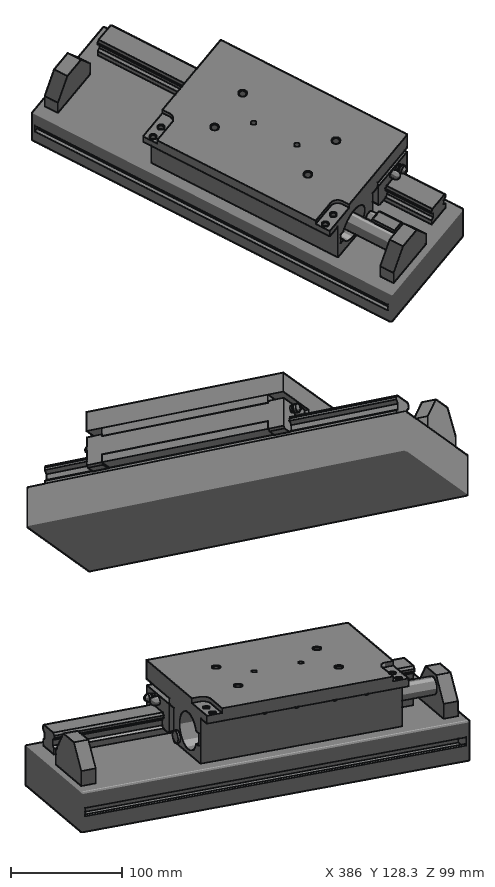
import cadquery as cq


base_length = 386.0
base_width = 119.5
base_height = 40.0
base_edge_radius = 2.0
slot_length = 378.3
slot_height = 8.0
slot_lip_depth = 4.0
slot_cavity_height = 16.0
slot_cavity_depth = 13.5

rail_length = 357.5
rail_y = 39.8
rail_foot_half = 11.5
rail_neck_half = 9.0
rail_head_half = 12.0
rail_top_half = 10.0
rail_foot_height = 5.8
rail_neck_bottom = 7.7
rail_neck_top = 13.0
rail_head_bottom = 16.2
rail_head_top = 18.5
rail_height = 21.0

carriage_length = 200.0
carriage_width = 128.0
carriage_x = 29.7
carriage_top = 99.0
overhang_thickness = 12.5
housing_front_y = -50.5
housing_back_y = 6.5
housing_bottom_z = 42.0
web_bottom_z = 74.5
block_seat_front_y = 15.5
block_seat_z = 80.3

bore_diameter = 36.0
bore_y = -24.5
bore_z = 64.0
groove_reach = 22.0
groove_height = 12.5

pocket_length = 15.0
pocket_width = 32.0
pocket_depth = 4.5
pocket_radius = 7.7
pocket_hole_diameter = 5.0
pocket_hole_end_inset = 7.7
pocket_hole_front_insets = (4.5, 17.8)
pocket_hole_depth = 5.8

mount_hole_diameter = 6.5
mount_hole_pitch_x = 100.0
mount_hole_pitch_y = 46.5
mount_hole_depth = 11.5
hole_chamfer = 0.8
pin_hole_diameter = 5.0
pin_hole_pitch = 46.5
pin_hole_depth = 7.7

side_hole_diameter = 3.25
side_hole_offsets = (-36.3, -4.5, 33.2, 65.0)
side_hole_z = 80.5
side_hole_depth = 7.7

gland_diameter = 12.0
gland_length = 7.5
plug_length = 24.0
plug_size = 14.5
plug_chamfer = 2.0
stub_length = 2.5
stub_y = -2.0
stub_z = 49.8

block_half_width = 24.5
block_waist_half = 23.5
block_bottom_z = 47.0
block_flank_top_z = 55.0
block_shoulder_z = 72.5
cap_thickness = 15.5
cap_bottom_z = 45.5
cap_top_z = 74.5
cap_corner = 2.0

fitting_z = 69.0
screw_y = 39.0
screw_diameter = 8.0
screw_shank_length = 4.0
nipple_y = 48.0
nipple_shank_diameter = 6.5
nipple_neck_diameter = 5.0
nipple_head_diameter = 8.0
nipple_tip_diameter = 3.25
nipple_shank_end = 2.0
nipple_neck_end = 3.5
nipple_head_end = 6.0
nipple_length = 9.3

support_thickness = 14.3
support_end_gap = 6.0
support_y = -20.0
support_width = 53.5
support_top_width = 22.5
support_shoulder_height = 14.5
support_height = 36.5
rod_diameter = 17.0

carriage_left = carriage_x - carriage_length / 2
carriage_right = carriage_x + carriage_length / 2
carriage_front_y = -carriage_width / 2
carriage_back_y = carriage_width / 2
overhang_bottom_z = carriage_top - overhang_thickness
support_outer_x = base_length / 2 - support_end_gap
support_inner_x = support_outer_x - support_thickness


def prism_along_x(outline, start_x, length):
    """Closed (Y, Z) outline extruded towards +X."""
    return cq.Workplane("YZ", origin=(start_x, 0, 0)).polyline(outline).close().extrude(length)


def cylinder_along_x(diameter, start_x, length, y, z):
    return cq.Workplane("YZ", origin=(start_x, y, z)).circle(diameter / 2).extrude(length)


def box_along_x(start_x, length, y_range, z_range):
    y_low, y_high = y_range
    z_low, z_high = z_range
    size = (length, y_high - y_low, z_high - z_low)
    return cq.Workplane("XY").box(*size, centered=False).translate((start_x, y_low, z_low))


def countersunk_hole(diameter, depth, center):
    """Cutter for a blind hole going down from its center point, with a chamfered mouth."""
    hole = cq.Workplane("XY", origin=center).circle(diameter / 2).extrude(-depth)
    mouth = (
        cq.Workplane("XY", origin=center)
        .circle(diameter / 2 + hole_chamfer)
        .workplane(offset=-hole_chamfer)
        .circle(diameter / 2)
        .loft()
    )
    return hole.union(mouth)


def symmetric_outline(middle_y, half_outline):
    """Full outline from (half width, Z) points listed from bottom to top."""
    front = [(middle_y - half, z) for half, z in half_outline]
    back = [(middle_y + half, z) for half, z in reversed(half_outline)]
    return front + back


def make_base():
    base = cq.Workplane("XY").box(base_length, base_width, base_height, centered=(True, True, False))
    base = base.edges().fillet(base_edge_radius)
    front_y = -base_width / 2
    lip_end_y = front_y + slot_lip_depth
    middle_z = base_height / 2
    opening = box_along_x(
        -slot_length / 2,
        slot_length,
        (front_y, lip_end_y),
        (middle_z - slot_height / 2, middle_z + slot_height / 2),
    )
    cavity = box_along_x(
        -slot_length / 2,
        slot_length,
        (lip_end_y, lip_end_y + slot_cavity_depth),
        (middle_z - slot_cavity_height / 2, middle_z + slot_cavity_height / 2),
    )
    return base.cut(opening).cut(cavity)


def make_rail():
    half_section = [
        (rail_foot_half, 0),
        (rail_foot_half, rail_foot_height),
        (rail_neck_half, rail_neck_bottom),
        (rail_neck_half, rail_neck_top),
        (rail_head_half, rail_head_bottom),
        (rail_head_half, rail_head_top),
        (rail_top_half, rail_height),
    ]
    half_outline = [(half, base_height + height) for half, height in half_section]
    return prism_along_x(symmetric_outline(rail_y, half_outline), -rail_length / 2, rail_length)


def make_carriage_profile():
    outline = [
        (carriage_front_y, carriage_top),
        (carriage_back_y, carriage_top),
        (carriage_back_y, block_seat_z),
        (block_seat_front_y, block_seat_z),
        (block_seat_front_y, web_bottom_z),
        (housing_back_y, web_bottom_z),
        (housing_back_y, housing_bottom_z),
        (housing_front_y, housing_bottom_z),
        (housing_front_y, overhang_bottom_z),
        (carriage_front_y, overhang_bottom_z),
    ]
    return prism_along_x(outline, carriage_left, carriage_length)


def make_bore():
    """Through bore with a flat-bottomed groove along its front side."""
    bore = cylinder_along_x(bore_diameter, carriage_left, carriage_length, bore_y, bore_z)
    groove = box_along_x(
        carriage_left,
        carriage_length,
        (bore_y - groove_reach, bore_y),
        (bore_z - groove_height / 2, bore_z + groove_height / 2),
    )
    return bore.union(groove)


def make_corner_pocket(end):
    """Shallow front-corner pocket with two holes in its floor; end is -1 or +1 along X."""
    end_x = carriage_x + end * carriage_length / 2
    floor_z = carriage_top - pocket_depth
    pocket = (
        cq.Workplane("XY", origin=(end_x, carriage_front_y, floor_z))
        .rect(2 * pocket_length, 2 * pocket_width)
        .extrude(pocket_depth)
        .edges("|Z")
        .fillet(pocket_radius)
    )
    hole_x = end_x - end * pocket_hole_end_inset
    for inset in pocket_hole_front_insets:
        center = (hole_x, carriage_front_y + inset, floor_z)
        pocket = pocket.union(countersunk_hole(pocket_hole_diameter, pocket_hole_depth, center))
    return pocket


def cut_mount_holes(carriage):
    for side_x in (-1, 1):
        for side_y in (-1, 1):
            center = (
                carriage_x + side_x * mount_hole_pitch_x / 2,
                side_y * mount_hole_pitch_y / 2,
                carriage_top,
            )
            carriage = carriage.cut(countersunk_hole(mount_hole_diameter, mount_hole_depth, center))
    return carriage


def make_pin_holes():
    top = cq.Workplane("XY", origin=(carriage_x, 0, carriage_top))
    return top.rarray(pin_hole_pitch, 4, 2, 1).circle(pin_hole_diameter / 2).extrude(-pin_hole_depth)


def make_side_holes():
    hole_centers = [(offset, side_hole_z) for offset in side_hole_offsets]
    return (
        cq.Workplane("XZ", origin=(carriage_x, housing_front_y, 0))
        .pushPoints(hole_centers)
        .circle(side_hole_diameter / 2)
        .extrude(-side_hole_depth)
    )


def make_cable_plug():
    """Round gland and square plug at the +X end, with the plug resting on the base."""
    half = plug_size / 2
    plug_z = base_height + half
    gland = cylinder_along_x(gland_diameter, carriage_right, gland_length, 0, plug_z)
    plug = box_along_x(
        carriage_right + gland_length,
        plug_length,
        (-half, half),
        (base_height, base_height + plug_size),
    )
    return gland.union(plug.edges("|X and >Z").chamfer(plug_chamfer))


def make_carriage():
    carriage = make_carriage_profile()
    carriage = carriage.cut(make_bore())
    for end in (-1, 1):
        carriage = carriage.cut(make_corner_pocket(end))
    carriage = cut_mount_holes(carriage)
    carriage = carriage.cut(make_pin_holes())
    carriage = carriage.cut(make_side_holes())
    stub = cylinder_along_x(gland_diameter, carriage_left - stub_length, stub_length, stub_y, stub_z)
    stub = stub.cut(make_bore())
    return carriage.union(make_cable_plug()).union(stub)


def revolve_about_x(profile, y):
    """Turn a closed (distance, radius) profile sketch about the X axis of a fitting."""
    return profile.close().revolve(360, (0, 0, 0), (1, 0, 0)).translate((carriage_left, y, fitting_z))


def make_screw():
    """Round shank with a domed tip, pointing towards -X."""
    radius = screw_diameter / 2
    profile = (
        cq.Workplane("XZ")
        .lineTo(0, radius)
        .lineTo(-screw_shank_length, radius)
        .radiusArc((-screw_shank_length - radius, 0), -radius)
    )
    return revolve_about_x(profile, screw_y)


def make_grease_nipple():
    """Necked nipple with a conical head, pointing towards -X."""
    outline = [
        (0, 0),
        (0, nipple_shank_diameter / 2),
        (-nipple_shank_end, nipple_shank_diameter / 2),
        (-nipple_shank_end, nipple_neck_diameter / 2),
        (-nipple_neck_end, nipple_neck_diameter / 2),
        (-nipple_neck_end, nipple_head_diameter / 2),
        (-nipple_head_end, nipple_head_diameter / 2),
        (-nipple_length, nipple_tip_diameter / 2),
        (-nipple_length, 0),
    ]
    return revolve_about_x(cq.Workplane("XZ").polyline(outline), nipple_y)


def make_end_cap():
    half_outline = [
        (block_waist_half - cap_corner, cap_bottom_z),
        (block_waist_half, cap_bottom_z + cap_corner),
        (block_waist_half, cap_top_z),
    ]
    cap = prism_along_x(symmetric_outline(rail_y, half_outline), carriage_left, cap_thickness)
    return cap.union(make_screw()).union(make_grease_nipple())


def make_runner_block(rail_solid):
    half_outline = [
        (block_half_width, block_bottom_z),
        (block_half_width, block_flank_top_z),
        (block_waist_half, block_flank_top_z),
        (block_waist_half, block_shoulder_z),
        (block_half_width, block_shoulder_z),
        (block_half_width, block_seat_z),
    ]
    body = prism_along_x(
        symmetric_outline(rail_y, half_outline),
        carriage_left + cap_thickness,
        carriage_length - 2 * cap_thickness,
    )
    left_cap = make_end_cap()
    right_cap = left_cap.mirror("YZ", (carriage_x, 0, 0))
    return body.union(left_cap).union(right_cap).cut(rail_solid)


def make_support(inner_side):
    """Bevelled end support; inner_side is +1 for the one at -X and -1 for the one at +X."""
    shoulder_z = base_height + support_shoulder_height
    half_outline = [
        (support_width / 2, base_height),
        (support_width / 2, shoulder_z),
        (support_top_width / 2, base_height + support_height),
    ]
    start_x = -support_outer_x if inner_side > 0 else support_inner_x
    return prism_along_x(symmetric_outline(support_y, half_outline), start_x, support_thickness)


def make_rod():
    """Rod from the +X support into the bore, ending at the middle of the carriage."""
    return cylinder_along_x(rod_diameter, carriage_x, support_inner_x - carriage_x, bore_y, bore_z)


base = make_base()
rail = make_rail()
carriage = make_carriage()
runner_block = make_runner_block(rail)
supports = [make_support(inner_side) for inner_side in (1, -1)]
supports[1] = supports[1].union(make_rod())

result = cq.Compound.makeCompound(
    [
        base.val(),
        rail.val(),
        carriage.val(),
        runner_block.val(),
        *[support.val() for support in supports],
    ]
)